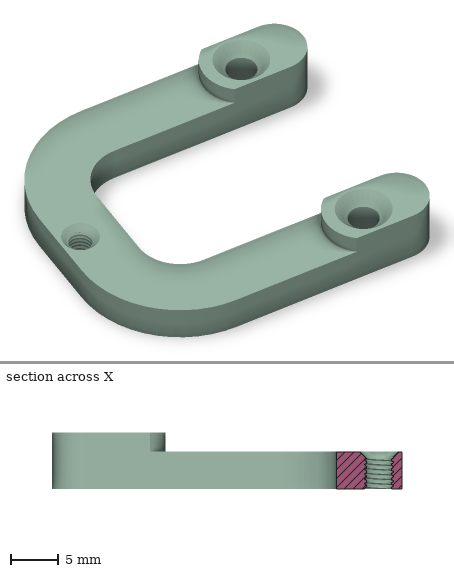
import cadquery as cq

width = 33.0
length = 37.0
base_thickness = 4.0
total_height = 6.0

bar_width = 7.0
outer_corner_radius = 12.0
inner_corner_radius = outer_corner_radius - bar_width
arm_x = (width - bar_width) / 2
arm_end_y = length - bar_width / 2

screw_y = length - 7.5
pad_inner_radius = 4.5
screw_diameter = 3.4
screw_sink_diameter = 6.1

thread_y = 2.45
thread_minor_diameter = 2.6
thread_major_diameter = 3.0
thread_sink_diameter = 4.1
thread_pitch = 0.5
groove_mouth = 0.8 * thread_pitch
groove_tip = 0.1 * thread_pitch
groove_overlap = 0.07

sink_angle = 90


def make_u_bar():
    """U-shaped plate with rounded corners and arm ends, open towards +Y."""
    outer_x = width / 2
    inner_x = outer_x - bar_width
    outer_flat_x = outer_x - outer_corner_radius
    inner_flat_x = inner_x - inner_corner_radius
    corner_y = outer_corner_radius
    return (
        cq.Workplane("XY")
        .moveTo(-outer_flat_x, 0)
        .lineTo(outer_flat_x, 0)
        .radiusArc((outer_x, corner_y), -outer_corner_radius)
        .lineTo(outer_x, arm_end_y)
        .threePointArc((arm_x, length), (inner_x, arm_end_y))
        .lineTo(inner_x, corner_y)
        .radiusArc((inner_flat_x, bar_width), inner_corner_radius)
        .lineTo(-inner_flat_x, bar_width)
        .radiusArc((-inner_x, corner_y), inner_corner_radius)
        .lineTo(-inner_x, arm_end_y)
        .threePointArc((-arm_x, length), (-outer_x, arm_end_y))
        .lineTo(-outer_x, corner_y)
        .radiusArc((-outer_flat_x, 0), -outer_corner_radius)
        .close()
        .extrude(base_thickness)
    )


def make_pad(x):
    """Raised arm end whose inner edge is an arc concentric with the screw hole."""
    half_width = bar_width / 2
    arc_edge_y = screw_y - (pad_inner_radius**2 - half_width**2) ** 0.5
    return (
        cq.Workplane("XY", origin=(0, 0, base_thickness))
        .moveTo(x - half_width, arm_end_y)
        .lineTo(x - half_width, arc_edge_y)
        .threePointArc((x, screw_y - pad_inner_radius), (x + half_width, arc_edge_y))
        .lineTo(x + half_width, arm_end_y)
        .threePointArc((x, length), (x - half_width, arm_end_y))
        .close()
        .extrude(total_height - base_thickness)
    )


def make_thread_groove():
    """Helical groove that runs out past the bottom face and into the countersink."""
    minor_radius = thread_minor_diameter / 2
    major_radius = thread_major_diameter / 2
    inner_radius = minor_radius - groove_overlap
    helix = cq.Wire.makeHelix(thread_pitch, base_thickness, inner_radius)
    return (
        cq.Workplane("XZ")
        .polyline(
            [
                (inner_radius, -groove_mouth / 2),
                (major_radius, -groove_tip / 2),
                (major_radius, groove_tip / 2),
                (inner_radius, groove_mouth / 2),
            ]
        )
        .close()
        .sweep(cq.Workplane(obj=helix), isFrenet=True)
        .translate((0, thread_y, -thread_pitch))
    )


body = make_u_bar()
for side in (-1, 1):
    body = body.union(make_pad(side * arm_x))

body = (
    body.faces(">Z")
    .workplane(origin=(0, 0, total_height))
    .pushPoints([(-arm_x, screw_y), (arm_x, screw_y)])
    .cskHole(screw_diameter, screw_sink_diameter, sink_angle)
)
body = (
    body.copyWorkplane(cq.Workplane("XY", origin=(0, thread_y, base_thickness)))
    .cskHole(thread_minor_diameter, thread_sink_diameter, sink_angle)
)

result = body.cut(make_thread_groove())